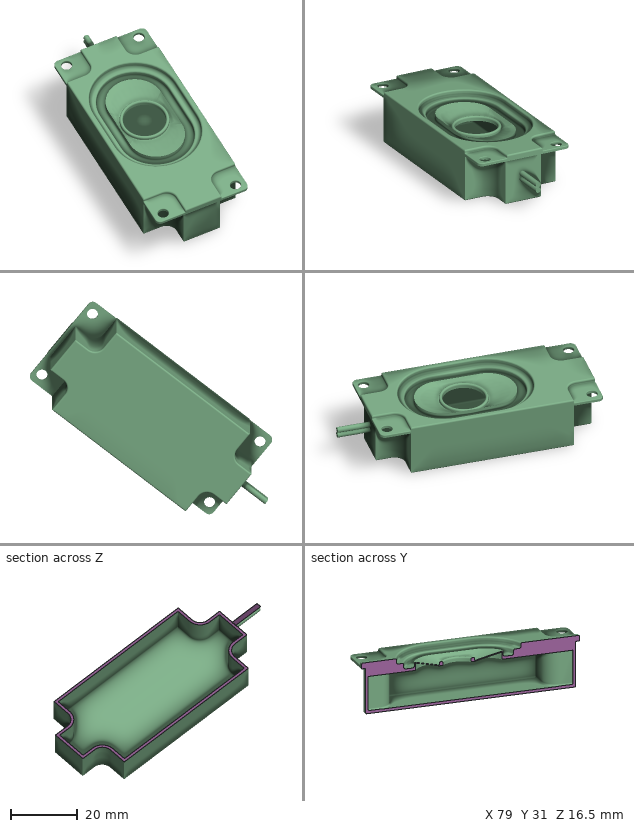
import cadquery as cq

total_length = 79.0
height = 16.5
width = 31.0
flange_length = 70.0
flange_thickness = 2.0
flange_corner_radius = 1.65
body_length = 67.6
edge_radius = 0.5

notch_size = 9.4
notch_radius = 3.3
ear_drop = 1.0
ear_edge_radius = 0.2
ear_root_radius = 0.2
hole_diameter = 3.3
hole_edge_radius = 0.2
hole_spacing_x = 64.3
hole_spacing_y = 24.3

oval_x = -3.8
oval_straight = 14.1
outer_step_depth = 1.7
inner_step_depth = 1.9
outer_step_half_width = 13.75
inner_step_half_width = 11.6
step_edge_radius = 0.5

rim_half_width = 8.8
rim_height = 1.8
rim_root_radius = 0.4
cone_thickness = 0.4
ring_x = -4.35
ring_outer_diameter = 15.0
ring_inner_diameter = 13.0
ring_z = 13.3
ring_wall_height = 0.55

wall = 1.0
cavity_edge_radius = 0.5

wire_diameter = 1.7
wire_y = 0.355
wire_contact_z = 8.2

selection_slack = 0.01

flange_z = height - flange_thickness
ear_z = height - ear_drop
step_z = height - outer_step_depth
recess_floor_z = step_z - inner_step_depth
rim_top_z = recess_floor_z + rim_height
roof_z = recess_floor_z - wall
cone_base_z = ring_z - ring_wall_height
ring_radius = (ring_outer_diameter + ring_inner_diameter) / 4
ring_bead_radius = (ring_outer_diameter - ring_inner_diameter) / 4
body_end_x = -body_length / 2
wire_length = total_length - flange_length / 2 + body_end_x


def level(z, x=0.0):
    """Horizontal workplane at height z, centred on x."""
    return cq.Workplane("XY", origin=(x, 0, z))


def oval(z, half_width):
    """Oval outline of the given half width at height z."""
    return level(z, oval_x).slot2D(oval_straight + 2 * half_width, 2 * half_width)


def corner_blocks(z, depth, inset=0.0):
    """Four blocks over the flange corners, rounded on their inner upright edge."""
    side = 2 * (notch_size + inset)
    return (
        level(z)
        .rect(flange_length, width, forConstruction=True)
        .vertices()
        .rect(side, side)
        .extrude(depth)
        .edges("|Z")
        .fillet(notch_radius + inset)
    )


def window(z, size_x, size_y):
    """Selector for edges or faces at height z with their middle in a centred size_x by size_y window."""
    low = (-size_x / 2, -size_y / 2, z - selection_slack)
    high = (size_x / 2, size_y / 2, z + selection_slack)
    return cq.selectors.BoxSelector(low, high)


def make_flange():
    """Mounting flange with a raised middle and four lowered ears."""
    flange = (
        level(flange_z)
        .rect(flange_length, width)
        .extrude(flange_thickness)
        .edges("|Z")
        .fillet(flange_corner_radius)
        .cut(corner_blocks(ear_z, ear_drop))
    )
    within = window(ear_z, flange_length - notch_radius, width - notch_radius)
    anywhere = window(ear_z, 2 * flange_length, 2 * width)
    flange = flange.edges(within).fillet(ear_root_radius)
    flange = flange.faces(">Z").edges().fillet(edge_radius)
    return flange.edges(anywhere - within).fillet(ear_edge_radius)


def make_ear_holes():
    """Cutters for the mounting holes, flared by the rounding of their upper edge."""
    flare_radius = hole_diameter / 2 + hole_edge_radius
    profile = (
        cq.Workplane("XZ")
        .moveTo(0, flange_z)
        .lineTo(hole_diameter / 2, flange_z)
        .lineTo(hole_diameter / 2, ear_z - hole_edge_radius)
        .radiusArc((flare_radius, ear_z), hole_edge_radius)
        .lineTo(0, ear_z)
        .close()
    )
    cutter = profile.revolve(360, (0, 0), (0, 1)).val()
    places = level(0).rect(hole_spacing_x, hole_spacing_y, forConstruction=True).vertices()
    return places.eachpoint(lambda place: cutter.moved(place))


def make_body():
    """Box below the flange with notched corners and a rounded bottom edge."""
    return (
        level(0)
        .rect(body_length, width)
        .extrude(flange_z)
        .cut(corner_blocks(0, flange_z))
        .faces("<Z")
        .edges()
        .fillet(edge_radius)
    )


def make_cavity():
    """Hollow inside of the body, an even wall away from its outline."""
    return (
        level(wall)
        .rect(body_length - 2 * wall, width - 2 * wall)
        .extrude(roof_z - wall)
        .cut(corner_blocks(wall, roof_z - wall, wall))
        .faces("<Z")
        .edges()
        .fillet(cavity_edge_radius)
    )


def round_oval_edge(solid, z, radius):
    """Round the oval edge that bounds the level face at height z on its inside."""
    face = solid.faces(window(z, flange_length, width)).val()
    return solid.newObject(face.innerWires()[0].Edges()).fillet(radius)


def make_step(z, depth, half_width):
    """Cutter for one oval step below height z with a rounded root."""
    return oval(z, half_width).extrude(-depth).faces("<Z").edges().fillet(step_edge_radius)


def make_bowl(drop=0.0):
    """Space above the cone, from the oval rim down to the round ring, lowered by drop."""
    return (
        oval(rim_top_z - drop, rim_half_width)
        .workplane(offset=cone_base_z - rim_top_z)
        .center(ring_x - oval_x, 0)
        .circle(ring_outer_diameter / 2)
        .loft()
    )


def make_cone_hollow():
    """Space below the cone that leaves the cone and its rim as a thin shell."""
    top_z = rim_top_z - cone_thickness
    hollow = oval(roof_z, rim_half_width - cone_thickness).extrude(top_z - roof_z)
    return hollow.cut(make_bowl(cone_thickness))


def make_ring():
    """Upright ring around the opening in the cone, with a rounded top."""
    upright = (
        level(cone_base_z - cone_thickness, ring_x)
        .circle(ring_outer_diameter / 2)
        .circle(ring_inner_diameter / 2)
        .extrude(ring_wall_height + cone_thickness)
    )
    bead = (
        cq.Workplane("XZ", origin=(ring_x, 0, ring_z))
        .center(ring_radius, 0)
        .circle(ring_bead_radius)
        .revolve(360, (-ring_radius, 0), (-ring_radius, 1))
    )
    return upright.union(bead)


def make_housing():
    """Hollow speaker box with its flange, stepped recess and open cone."""
    housing = make_flange().cut(make_ear_holes()).union(make_body())
    housing = housing.cut(make_step(height, outer_step_depth, outer_step_half_width))
    housing = housing.cut(make_step(step_z, inner_step_depth, inner_step_half_width))
    housing = housing.union(oval(recess_floor_z, rim_half_width).extrude(rim_height))
    housing = round_oval_edge(housing, height, step_edge_radius)
    housing = round_oval_edge(housing, step_z, step_edge_radius)
    housing = round_oval_edge(housing, recess_floor_z, rim_root_radius)

    throat = level(roof_z, ring_x).circle(ring_inner_diameter / 2).extrude(ring_z - roof_z)
    for cutter in (make_cavity(), make_bowl(), make_cone_hollow(), throat):
        housing = housing.cut(cutter)
    return housing.union(make_ring())


def make_wire(z):
    """Straight round wire running outwards from the end wall at height z."""
    end_wall = cq.Workplane("YZ", origin=(body_end_x, wire_y, z))
    return end_wall.circle(wire_diameter / 2).extrude(-wire_length)


housing = make_housing()

wires = []
for side in (-1, 1):
    wires.append(make_wire(wire_contact_z + side * wire_diameter / 2))

result = cq.Compound.makeCompound([housing.solids().val()] + [wire.val() for wire in wires])